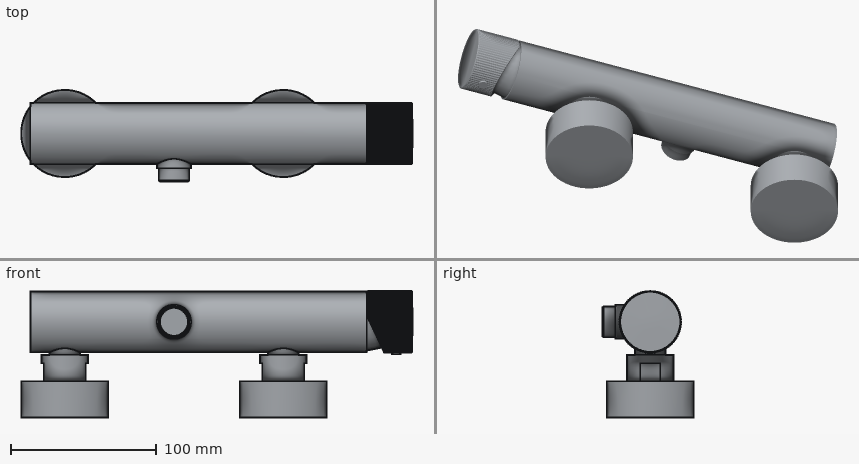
import cadquery as cq
import math


tube_radius = 21.0
tube_start = -98.5
tube_end = 132.3

inlet_spacing = 150.0
flange_radius = 30.0
flange_height = 25.0
nut_radius = 16.0
nut_height = 18.0
nut_flat_distance = 14.5
nut_flat_height = 12.3
neck_radius = 10.5

outlet_collar_radius = 11.75
outlet_collar_reach = 24.0
outlet_radius = 10.6
outlet_reach = 33.1
outlet_chamfer = 1.0

knob_radius = 21.2
knob_root_radius = 20.9
knob_gap = 1.2
knob_start = tube_end + knob_gap
knob_tip = 164.02
knob_cap_rise = 0.6
knob_end = knob_tip - knob_cap_rise
knob_end_chamfer = 0.6
ridge_count = 80
relief_length = 10.9
relief_height = 2.0

sleeve_radius = 19.8
sleeve_small_radius = 17.0
sleeve_length = 14.0

button_radius = 3.0
button_position = 152.6
button_reach = 22.4

overall_height = 86.94
base_z = knob_radius - overall_height


def make_tube():
    """Solid body cylinder along X."""
    return (
        cq.Workplane("YZ")
        .workplane(offset=tube_start)
        .circle(tube_radius)
        .extrude(tube_end - tube_start)
    )


def make_inlet(x):
    """Flange, flatted nut and neck, standing from the base up to the tube axis."""
    nut_base = base_z + flange_height
    flange = cq.Workplane("XY", origin=(x, 0, base_z)).circle(flange_radius).extrude(flange_height)
    nut = cq.Workplane("XY", origin=(x, 0, nut_base)).circle(nut_radius).extrude(nut_height)
    flat_blank = (
        cq.Workplane("XY", origin=(x, 0, nut_base))
        .rect(2 * nut_flat_distance, 2 * nut_radius)
        .extrude(nut_flat_height)
    )
    upper_blank = (
        cq.Workplane("XY", origin=(x, 0, nut_base + nut_flat_height))
        .circle(nut_radius)
        .extrude(nut_height - nut_flat_height)
    )
    flatted_nut = nut.intersect(flat_blank.union(upper_blank))
    neck = cq.Workplane("XY", origin=(x, 0, nut_base)).circle(neck_radius).extrude(-nut_base)
    return flange.union(flatted_nut).union(neck)


def make_outlet():
    """Stepped spigot from the tube axis toward -Y with a chamfered end."""
    collar = cq.Workplane("XZ").circle(outlet_collar_radius).extrude(outlet_collar_reach)
    spigot = cq.Workplane("XZ").circle(outlet_radius).extrude(outlet_reach)
    spigot = spigot.faces("<Y").chamfer(outlet_chamfer)
    return collar.union(spigot)


def make_knurled_bar():
    """Ridged prism: alternating crest and root points around the axis."""
    point_count = 2 * ridge_count
    points = []
    for i in range(point_count):
        angle = 2 * math.pi * i / point_count
        radius = knob_root_radius if i % 2 else knob_radius
        points.append((radius * math.cos(angle), radius * math.sin(angle)))
    return (
        cq.Workplane("YZ")
        .workplane(offset=knob_start)
        .polyline(points)
        .close()
        .extrude(knob_tip - knob_start)
    )


def make_knob():
    """Knurled knob with a shallow conical end and a slanted relief underneath."""
    envelope = (
        cq.Workplane("XZ")
        .moveTo(knob_start, 0)
        .lineTo(knob_start, knob_radius)
        .lineTo(knob_end - knob_end_chamfer, knob_radius)
        .lineTo(knob_end, knob_radius - knob_end_chamfer)
        .lineTo(knob_tip, 0)
        .close()
        .revolve(360, (0, 0, 0), (1, 0, 0))
    )
    knob = make_knurled_bar().intersect(envelope)

    relief = (
        cq.Workplane("XZ")
        .moveTo(knob_start, relief_height)
        .lineTo(knob_start + relief_length, -knob_radius)
        .lineTo(knob_start, -knob_radius)
        .close()
        .extrude(knob_radius, both=True)
    )
    return knob.cut(relief)


def make_sleeve():
    """Cone narrowing from the tube end into the knob, exposed by the relief."""
    return (
        cq.Workplane("XZ")
        .moveTo(tube_end, 0)
        .lineTo(tube_end, sleeve_radius)
        .lineTo(tube_end + sleeve_length, sleeve_small_radius)
        .lineTo(tube_end + sleeve_length, 0)
        .close()
        .revolve(360, (0, 0, 0), (1, 0, 0))
    )


def make_button():
    """Round pin from the knob axis through its underside."""
    return (
        cq.Workplane("XY", origin=(button_position, 0, 0))
        .circle(button_radius)
        .extrude(-button_reach)
    )


result = make_tube()
for side in (-1, 1):
    result = result.union(make_inlet(side * inlet_spacing / 2))
result = result.union(make_outlet())
result = result.union(make_sleeve())
result = result.union(make_knob())
result = result.union(make_button())